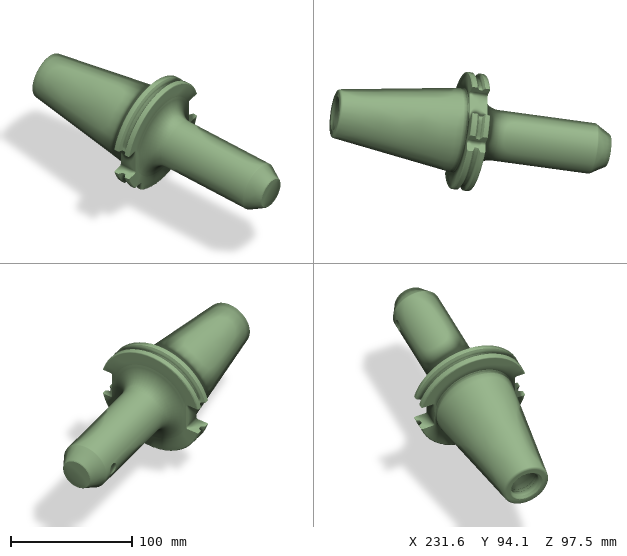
import cadquery as cq
import math


GAUGE_RADIUS = 69.85 / 2
TAPER_LENGTH = 101.75
TAPER_SLOPE = 7 / 48
TAPER_STOP = -0.65
SHANK_X = -TAPER_LENGTH
SHANK_END_RADIUS = GAUGE_RADIUS - TAPER_SLOPE * TAPER_LENGTH
SHANK_END_ROUND = 2.0

RELIEF_RADIUS = 34.5
RELIEF_START_X = 0.7
RELIEF_END_X = 2.05
COLLAR_START_X = 2.75
COLLAR_RADIUS = 35.2

FLANGE_RADIUS = 97.5 / 2
FLANGE_X = 3.2
FLANGE_END_X = 18.6
FLANGE_EDGE_ROUND = 1.0
GROOVE_X = 11.1
GROOVE_BOTTOM_RADIUS = 91.25 / 2
GROOVE_BOTTOM_WIDTH = 2.9
GROOVE_HALF_ANGLE = math.radians(30)

NOSE_RADIUS = 21.0
NOSE_END_X = 129.85
NOSE_END_RADIUS = 13.7
NOSE_CONE_LENGTH = 13.15
NOSE_CONE_ROUND = 1.5
NOSE_END_CHAMFER = 0.6
ROOT_ROUND = 15.3

SLOT_WIDTH = 25.7
SLOT_FLOOR_FRONT = 37.5
SLOT_FLOOR_BACK = 35.3
SLOT_CORNER_ROUND = 1.6
NOTCH_CORNER_ROUND = 2.0
NOTCH_Y = -29.6
NOTCH_Z = -29.6
CUTTER_REACH = FLANGE_RADIUS + 5
CUTTER_OVERRUN = 1.0

BORE_MOUTH_RADIUS = 14.5
MOUTH_CONE_RADIUS = 14.0
MOUTH_CONE_START = 0.3
MOUTH_CONE_END = 2.3
PILOT_RADIUS = 12.5
PILOT_DEPTH = 6.9
RECESS_RADIUS = 12.25
RECESS_DEPTH = 9.5
COUNTERSINK_RADIUS = 12.0
COUNTERSINK_HALF_ANGLE = math.radians(30)
DRILL_RADIUS = 10.4
DRILL_DEPTH = 55.0
DRILL_TIP_HALF_ANGLE = math.radians(59)

SIDE_HOLE_X = NOSE_END_X - 22.9
SIDE_HOLE_RADIUS = 4.8
SIDE_HOLE_DEPTH = 5.0


def revolve_about_x(outline):
    return outline.close().revolve(360, (0, 0, 0), (1, 0, 0))


def turned_body():
    groove_rise = FLANGE_RADIUS - GROOVE_BOTTOM_RADIUS
    bottom_half = GROOVE_BOTTOM_WIDTH / 2
    mouth_half = bottom_half + groove_rise * math.tan(GROOVE_HALF_ANGLE)
    taper_end_radius = GAUGE_RADIUS + TAPER_SLOPE * TAPER_STOP
    taper_angle = math.atan(TAPER_SLOPE)
    round_x = SHANK_X + SHANK_END_ROUND
    round_radius = (
        SHANK_END_RADIUS + TAPER_SLOPE * SHANK_END_ROUND - SHANK_END_ROUND / math.cos(taper_angle)
    )
    round_middle = (math.pi + math.pi / 2 + taper_angle) / 2

    def on_round(angle):
        return (
            round_x + SHANK_END_ROUND * math.cos(angle),
            round_radius + SHANK_END_ROUND * math.sin(angle),
        )

    root_end_x = FLANGE_END_X + ROOT_ROUND
    root_middle = (
        root_end_x - ROOT_ROUND * math.sqrt(0.5),
        NOSE_RADIUS + ROOT_ROUND * (1 - math.sqrt(0.5)),
    )
    rim_side_radius = FLANGE_RADIUS - FLANGE_EDGE_ROUND
    cone_start_x = NOSE_END_X - NOSE_CONE_LENGTH

    outline = (
        cq.Workplane("XY")
        .moveTo(SHANK_X, 0)
        .lineTo(SHANK_X, round_radius)
        .threePointArc(on_round(round_middle), on_round(math.pi / 2 + taper_angle))
        .lineTo(TAPER_STOP, taper_end_radius)
        .lineTo(RELIEF_START_X, RELIEF_RADIUS)
        .lineTo(RELIEF_END_X, RELIEF_RADIUS)
        .lineTo(COLLAR_START_X, COLLAR_RADIUS)
        .lineTo(FLANGE_X, COLLAR_RADIUS)
        .lineTo(FLANGE_X, rim_side_radius)
        .radiusArc((FLANGE_X + FLANGE_EDGE_ROUND, FLANGE_RADIUS), FLANGE_EDGE_ROUND)
        .lineTo(GROOVE_X - mouth_half, FLANGE_RADIUS)
        .lineTo(GROOVE_X - bottom_half, GROOVE_BOTTOM_RADIUS)
        .lineTo(GROOVE_X + bottom_half, GROOVE_BOTTOM_RADIUS)
        .lineTo(GROOVE_X + mouth_half, FLANGE_RADIUS)
        .lineTo(FLANGE_END_X - FLANGE_EDGE_ROUND, FLANGE_RADIUS)
        .radiusArc((FLANGE_END_X, rim_side_radius), FLANGE_EDGE_ROUND)
        .lineTo(FLANGE_END_X, NOSE_RADIUS + ROOT_ROUND)
        .threePointArc(root_middle, (root_end_x, NOSE_RADIUS))
        .lineTo(cone_start_x, NOSE_RADIUS)
        .lineTo(NOSE_END_X - NOSE_END_CHAMFER, NOSE_END_RADIUS)
        .lineTo(NOSE_END_X, NOSE_END_RADIUS - NOSE_END_CHAMFER)
        .lineTo(NOSE_END_X, 0)
    )
    cone_edge = cq.NearestToPointSelector((cone_start_x, 0, 0))
    return revolve_about_x(outline).edges(cone_edge).fillet(NOSE_CONE_ROUND)


def flange_block(y_start, y_end, z_start, z_end):
    """Box across the full flange width, used to cut the flange."""
    width = FLANGE_END_X - FLANGE_X + CUTTER_OVERRUN
    corner = (FLANGE_X, min(y_start, y_end), min(z_start, z_end))
    size = (width, abs(y_end - y_start), abs(z_end - z_start))
    return cq.Workplane("XY").box(*size, centered=False).translate(corner)


def drive_slot(side, floor):
    half = SLOT_WIDTH / 2
    slot = flange_block(side * floor, side * CUTTER_REACH, -half, half)
    floor_face = "<Y" if side > 0 else ">Y"
    return slot.faces(floor_face).edges("|X").fillet(SLOT_CORNER_ROUND)


def orientation_notch():
    notch = flange_block(NOTCH_Y, -CUTTER_REACH, NOTCH_Z, -CUTTER_REACH)
    return notch.edges("|X and >Y and >Z").fillet(NOTCH_CORNER_ROUND)


def pull_stud_bore():
    countersink_length = (COUNTERSINK_RADIUS - DRILL_RADIUS) / math.tan(COUNTERSINK_HALF_ANGLE)
    tip_length = DRILL_RADIUS / math.tan(DRILL_TIP_HALF_ANGLE)
    outline = (
        cq.Workplane("XY")
        .moveTo(SHANK_X, 0)
        .lineTo(SHANK_X, BORE_MOUTH_RADIUS)
        .lineTo(SHANK_X + MOUTH_CONE_START, MOUTH_CONE_RADIUS)
        .lineTo(SHANK_X + MOUTH_CONE_END, PILOT_RADIUS)
        .lineTo(SHANK_X + PILOT_DEPTH, PILOT_RADIUS)
        .lineTo(SHANK_X + PILOT_DEPTH, RECESS_RADIUS)
        .lineTo(SHANK_X + RECESS_DEPTH, RECESS_RADIUS)
        .lineTo(SHANK_X + RECESS_DEPTH, COUNTERSINK_RADIUS)
        .lineTo(SHANK_X + RECESS_DEPTH + countersink_length, DRILL_RADIUS)
        .lineTo(SHANK_X + DRILL_DEPTH, DRILL_RADIUS)
        .lineTo(SHANK_X + DRILL_DEPTH + tip_length, 0)
    )
    return revolve_about_x(outline)


def side_hole():
    return (
        cq.Workplane("XZ", origin=(SIDE_HOLE_X, NOSE_RADIUS, 0))
        .circle(SIDE_HOLE_RADIUS)
        .extrude(SIDE_HOLE_DEPTH)
    )


result = (
    turned_body()
    .cut(drive_slot(-1, SLOT_FLOOR_FRONT))
    .cut(drive_slot(1, SLOT_FLOOR_BACK))
    .cut(orientation_notch())
    .cut(pull_stud_bore())
    .cut(side_hole())
)